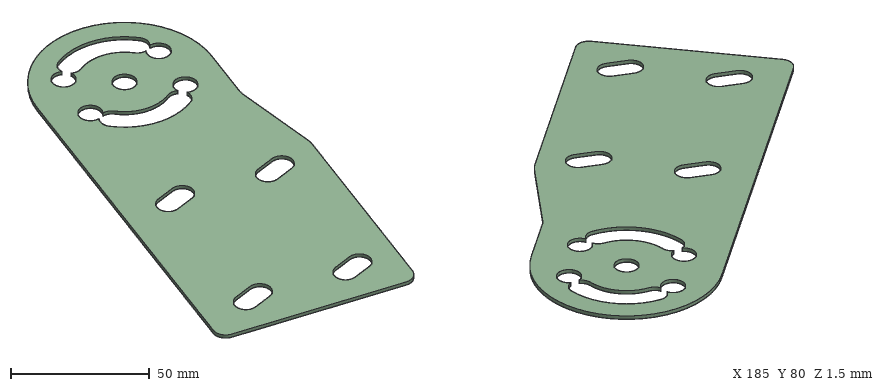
import cadquery as cq
import math

length = 185.0
width = 80.0
thickness = 1.5
head_radius = 35.0
corner_radius = 5.0
head_x_min = -head_radius
plate_x_max = head_x_min + length
bottom_y = -head_radius
top_y = bottom_y + width

shoulder_start_x = 24.0
shoulder_end_x = 61.0
shoulder_radius = 10.0

opening_width = 9.0

arc_radius = 22.0
arc_half_angle = 38.0
entry_angle = 60.0

slot_center_x = 69.5
slot_center_y = -13.5
slot_spacing_x = 64.0
slot_spacing_y = 40.0
slot_center_distance = 8.0
slot_angle = 115.0


def polar(radius, angle):
    """Point at a distance from the pivot and an angle in degrees."""
    radians = math.radians(angle)
    return radius * math.cos(radians), radius * math.sin(radians)


def make_plate():
    """Flat plate with a semicircular head and a shoulder on the +Y edge."""
    plate = (
        cq.Workplane("XY")
        .moveTo(0, bottom_y)
        .lineTo(plate_x_max, bottom_y)
        .lineTo(plate_x_max, top_y)
        .lineTo(shoulder_end_x, top_y)
        .lineTo(shoulder_start_x, head_radius)
        .lineTo(0, head_radius)
        .threePointArc((head_x_min, 0), (0, bottom_y))
        .close()
        .extrude(thickness)
    )
    plate = plate.edges("|Z and >X").fillet(corner_radius)
    for x, y in ((shoulder_start_x, head_radius), (shoulder_end_x, top_y)):
        bend = cq.selectors.NearestToPointSelector((x, y, thickness / 2))
        plate = plate.edges("|Z").edges(bend).fillet(shoulder_radius)
    return plate


def round_cutters(points):
    """Cylinders through the plate at the given points."""
    return cq.Workplane("XY").pushPoints(points).circle(opening_width / 2).extrude(thickness)


def curved_slot_cutter(middle_angle):
    """Annular slot with round ends and overlapping entry holes."""
    inner_radius = arc_radius - opening_width / 2
    outer_radius = arc_radius + opening_width / 2
    start = middle_angle - arc_half_angle
    end = middle_angle + arc_half_angle
    band = (
        cq.Workplane("XY")
        .moveTo(*polar(inner_radius, start))
        .lineTo(*polar(outer_radius, start))
        .threePointArc(polar(outer_radius, middle_angle), polar(outer_radius, end))
        .lineTo(*polar(inner_radius, end))
        .threePointArc(polar(inner_radius, middle_angle), polar(inner_radius, start))
        .close()
        .extrude(thickness)
    )
    rounds = [
        polar(arc_radius, middle_angle + side * angle)
        for side in (-1, 1)
        for angle in (arc_half_angle, entry_angle)
    ]
    for point in rounds:
        band = band.union(round_cutters([point]))
    return band


def mounting_slot_cutters():
    """Two by two pattern of slanted slots."""
    centers = [
        (slot_center_x + column * slot_spacing_x, slot_center_y + row * slot_spacing_y)
        for column in range(2)
        for row in range(2)
    ]
    slot_length = slot_center_distance + opening_width
    return (
        cq.Workplane("XY")
        .pushPoints(centers)
        .slot2D(slot_length, opening_width, slot_angle)
        .extrude(thickness)
    )


result = make_plate()
result = result.cut(round_cutters([(0, 0)]))
for slot_side_angle in (0, 180):
    result = result.cut(curved_slot_cutter(slot_side_angle))
result = result.cut(mounting_slot_cutters())